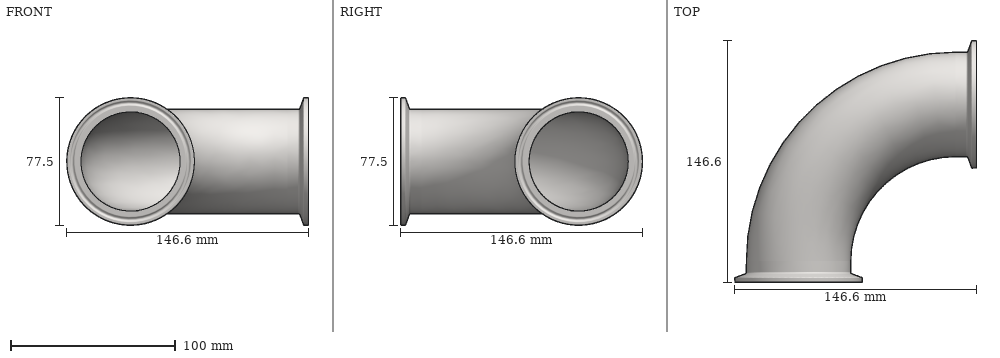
import cadquery as cq
import math

overall_length = 146.6
tube_diameter = 63.5
bore_diameter = 60.1
flange_diameter = 77.5
ferrule_length = 12.8

rim_width = 3.0
rim_fillet = 0.6
back_angle = 20.0
neck_fillet = 1.0

groove_diameter = 70.7
groove_width = 3.5
groove_depth = 1.0
groove_lip_radius = 0.9

tube_radius = tube_diameter / 2
bore_radius = bore_diameter / 2
flange_radius = flange_diameter / 2
flange_offset = overall_length - flange_radius
bend_radius = flange_offset - ferrule_length
cone_length = (flange_radius - tube_radius) * math.tan(math.radians(back_angle))
cone_end = rim_width + cone_length


def revolve_about_y(profile):
    """Turn a closed profile in the XY plane once around the Y axis."""
    return profile.revolve(360, (0, 0, 0), (0, 1, 0))


def circle_edge(radius, y):
    """Selector for the circular edge of this radius around the Y axis."""
    margin = 0.01
    reach = radius + margin
    low_corner = (-reach, y - margin, -reach)
    high_corner = (reach, y + margin, reach)
    return cq.selectors.BoxSelector(low_corner, high_corner, boundingbox=True)


def make_gasket_groove():
    """Ring cutter whose bottom arc runs tangent into the two lip arcs."""
    middle = groove_diameter / 2
    half_width = groove_width / 2

    centre_distance = (half_width**2 + groove_depth**2) / (2 * groove_depth)
    lip_angle = math.asin(half_width / centre_distance)
    bottom_radius = centre_distance - groove_lip_radius
    touch_x = bottom_radius * math.sin(lip_angle)
    touch_y = groove_lip_radius * (1 - math.cos(lip_angle))
    lip_middle_x = half_width - groove_lip_radius * math.sin(lip_angle / 2)
    lip_middle_y = groove_lip_radius * (1 - math.cos(lip_angle / 2))

    profile = (
        cq.Workplane("XY")
        .moveTo(middle - half_width, 0)
        .threePointArc((middle - lip_middle_x, lip_middle_y), (middle - touch_x, touch_y))
        .threePointArc((middle, groove_depth), (middle + touch_x, touch_y))
        .threePointArc((middle + lip_middle_x, lip_middle_y), (middle + half_width, 0))
        .close()
    )
    return revolve_about_y(profile)


def make_ferrule():
    """Bored clamp ferrule along +Y with its grooved sealing face at Y = 0."""
    profile = (
        cq.Workplane("XY")
        .lineTo(flange_radius, 0)
        .lineTo(flange_radius, rim_width)
        .lineTo(tube_radius, cone_end)
        .lineTo(tube_radius, ferrule_length)
        .lineTo(0, ferrule_length)
        .close()
    )
    ferrule = revolve_about_y(profile)
    ferrule = ferrule.edges(circle_edge(tube_radius, cone_end)).fillet(neck_fillet)
    ferrule = ferrule.edges(circle_edge(flange_radius, rim_width)).fillet(rim_fillet)
    ferrule = ferrule.edges(circle_edge(flange_radius, 0)).fillet(rim_fillet)
    bore = cq.Workplane("XZ").circle(bore_radius).extrude(-ferrule_length)
    return ferrule.cut(bore).cut(make_gasket_groove())


def make_bend():
    """Quarter-torus tube from the inlet ferrule to the outlet ferrule."""
    return (
        cq.Workplane("XZ", origin=(0, ferrule_length, 0))
        .circle(tube_radius)
        .circle(bore_radius)
        .revolve(90, (bend_radius, 1.5, 0), (bend_radius, 0, 0))
    )


inlet = make_ferrule()
outlet = inlet.rotate((0, 0, 0), (0, 0, 1), 90).translate((flange_offset, flange_offset, 0))
result = inlet.union(make_bend()).union(outlet)